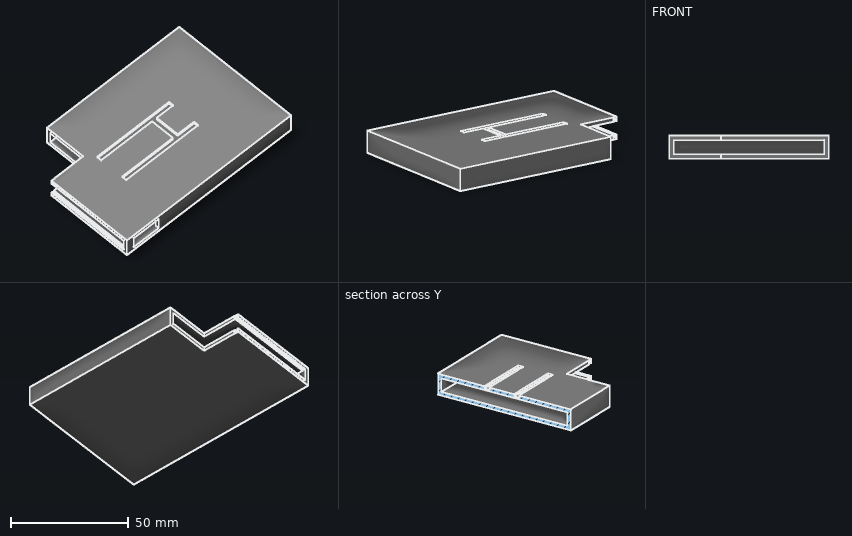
import cadquery as cq

LENGTH_X = 68.0
LENGTH_Y = 98.0
HEIGHT = 10.0
WALL = 2.0

RIGHT_X = LENGTH_X / 2
LEFT_X = -RIGHT_X
TOP_Z = HEIGHT / 2
BACK_Y = LENGTH_Y / 2
FRONT_Y = -BACK_Y
CAVITY_TOP_Z = TOP_Z - WALL
CAVITY_RIGHT_X = RIGHT_X - WALL

NOTCH_X = 22.0
NOTCH_Y = 19.0

TIP_LENGTH = 2.0
TIP_SETBACK = 0.1

WINDOW_FRONT_MARGIN = 4.0

GROOVE_FRONT_MARGIN = 0.5
GROOVE_WIDTH = 1.0
GROOVE_DEPTH = 1.0

H_LEFT_X = -7.6
H_FRONT_Y = -26.0
H_LENGTH = 43.0
H_STROKE = 2.5
H_GAP = 12.7
H_BAR_Y = 4.4
H_BAR_WIDTH = 2.8
H_DEPTH = 1.0


def box_between(x_range, y_range, z_range):
    """Box spanning the given (low, high) ranges."""
    low, high = zip(x_range, y_range, z_range)
    sizes = [top - bottom for bottom, top in zip(low, high)]
    return cq.Workplane("XY").box(*sizes, centered=False).translate(low)


def sleeve():
    """Flat box with a cavity open at the front, and the stepped corner notch."""
    body = cq.Workplane("XY").box(LENGTH_X, LENGTH_Y, HEIGHT)
    cavity = box_between(
        (LEFT_X + WALL, CAVITY_RIGHT_X),
        (FRONT_Y, BACK_Y - WALL),
        (-CAVITY_TOP_Z, CAVITY_TOP_Z),
    )
    notch = box_between(
        (LEFT_X, LEFT_X + NOTCH_X),
        (FRONT_Y, FRONT_Y + NOTCH_Y),
        (-TOP_Z, TOP_Z),
    )
    tip_setback = box_between(
        (LEFT_X, LEFT_X + NOTCH_X + TIP_SETBACK),
        (FRONT_Y, FRONT_Y + TIP_LENGTH),
        (-TOP_Z, TOP_Z),
    )
    return body.cut(cavity).cut(notch).cut(tip_setback)


def side_window():
    """Opening through the right wall, as tall as the cavity."""
    return box_between(
        (CAVITY_RIGHT_X, RIGHT_X),
        (FRONT_Y + WINDOW_FRONT_MARGIN, FRONT_Y + NOTCH_Y),
        (-CAVITY_TOP_Z, CAVITY_TOP_Z),
    )


def lip_grooves():
    """One cutter that grooves both the upper and the lower front lip."""
    groove_y = FRONT_Y + GROOVE_FRONT_MARGIN
    groove_z = CAVITY_TOP_Z + GROOVE_DEPTH
    return box_between(
        (LEFT_X + NOTCH_X, CAVITY_RIGHT_X),
        (groove_y, groove_y + GROOVE_WIDTH),
        (-groove_z, groove_z),
    )


def h_recess():
    """Two long strokes joined by a crossbar, sunk into the top face."""
    z_range = (TOP_Z - H_DEPTH, TOP_Z)
    right_stroke_x = H_LEFT_X + H_STROKE + H_GAP
    recess = box_between(
        (H_LEFT_X, right_stroke_x),
        (H_BAR_Y, H_BAR_Y + H_BAR_WIDTH),
        z_range,
    )
    for stroke_x in (H_LEFT_X, right_stroke_x):
        stroke = box_between(
            (stroke_x, stroke_x + H_STROKE),
            (H_FRONT_Y, H_FRONT_Y + H_LENGTH),
            z_range,
        )
        recess = recess.union(stroke)
    return recess


result = sleeve().cut(side_window()).cut(lip_grooves()).cut(h_recess())